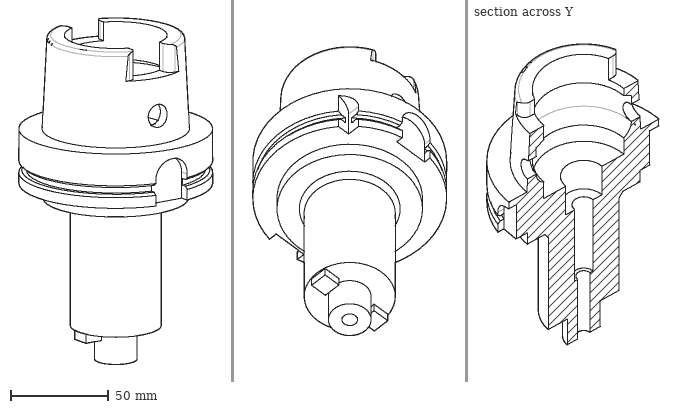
import cadquery as cq
import math

shank_top = 50.0
flange_bottom = -29.0
collar_bottom = -37.0
neck_end = -40.5
shoulder = -105.0
pilot_length = 18.0
pilot_bottom = shoulder - pilot_length

shank_base_radius = 38.0
shank_taper = 1 / 20
shank_top_radius = shank_base_radius - shank_taper * shank_top
shank_rim_fillet = 2.0

flange_radius = 50.0
groove_floor_radius = 46.1
groove_upper_edge = -17.0
groove_lower_edge = -23.3
groove_floor_top = -18.3
groove_floor_bottom = -21.9
groove_lip_radius = 48.5

collar_radius = 37.5
neck_radius = 26.0
arbor_radius = 23.5
pilot_radius = 11.0

mouth_radius = 26.5
mouth_bottom = 30.0
chamber_radius = 31.5
chamber_flare_angle = 60.0
chamber_round_radius = 10.0
chamber_round_start = 9.0
well_radius = mouth_radius
well_floor = -11.0
tube_bore_radius = 12.0
tube_bore_depth = 20.0
coolant_radius = 6.0
coolant_depth = 70.0
through_radius = 4.0

tenon_slot_width = 20.0
tenon_corner_radius = 4.5
tenon_flat = 32.1
slot_depth_neg_x = 10.0
slot_depth_pos_x = 15.0

cross_hole_radius = 6.0
cross_hole_height = 15.0

keyway_width = 20.0
keyway_top = -5.0
keyway_floor_neg_x = 45.0
keyway_floor_pos_x = 44.0
notch_floor = 31.5
notch_side = 31.5
notch_width = 17.0
notch_top = -5.0

key_width = 10.0
key_height = 5.0
key_inner = 12.7
key_outer = 22.6


def turned_body():
    """Revolved outside: shank, grooved flange, collar, arbor and pilot."""
    outline = [
        (0, shank_top),
        (shank_top_radius, shank_top),
        (shank_base_radius, 0),
        (flange_radius, 0),
        (flange_radius, groove_upper_edge),
        (groove_lip_radius, groove_floor_top),
        (groove_floor_radius, groove_floor_top),
        (groove_floor_radius, groove_floor_bottom),
        (groove_lip_radius, groove_floor_bottom),
        (flange_radius, groove_lower_edge),
        (flange_radius, flange_bottom),
        (collar_radius, flange_bottom),
        (collar_radius, collar_bottom),
        (neck_radius, collar_bottom),
        (arbor_radius, neck_end),
        (arbor_radius, shoulder),
        (pilot_radius, shoulder),
        (pilot_radius, pilot_bottom),
        (0, pilot_bottom),
    ]
    body = cq.Workplane("XZ").polyline(outline).close().revolve(360, (0, 0, 0), (0, 1, 0))
    return body.faces(">Z").edges().fillet(shank_rim_fillet)


def bores():
    """Stepped inner cavity: mouth, wider chamber, well, tube bore and coolant holes."""
    flare_height = (chamber_radius - mouth_radius) / math.tan(math.radians(chamber_flare_angle))
    round_center = chamber_radius - chamber_round_radius
    round_sweep = math.acos((well_radius - round_center) / chamber_round_radius)

    def on_round(angle):
        return (
            round_center + chamber_round_radius * math.cos(angle),
            chamber_round_start - chamber_round_radius * math.sin(angle),
        )

    chamber = (
        cq.Workplane("XZ")
        .moveTo(0, shank_top)
        .lineTo(mouth_radius, shank_top)
        .lineTo(mouth_radius, mouth_bottom)
        .lineTo(chamber_radius, mouth_bottom - flare_height)
        .lineTo(chamber_radius, chamber_round_start)
        .threePointArc(on_round(round_sweep / 2), on_round(round_sweep))
        .lineTo(well_radius, well_floor)
        .lineTo(0, well_floor)
        .close()
        .revolve(360, (0, 0, 0), (0, 1, 0))
    )
    floor = cq.Workplane("XY").workplane(offset=well_floor)
    tube_bore = floor.circle(tube_bore_radius).extrude(-tube_bore_depth)
    coolant = floor.circle(coolant_radius).extrude(-coolant_depth)
    through = floor.circle(through_radius).extrude(pilot_bottom - well_floor)
    return chamber.union(tube_bore).union(coolant).union(through)


def tenon_slot(side, depth):
    """Rim slot on one side (+1 or -1 along X), with rounded corners opening onto the side flat."""
    reach = shank_base_radius
    half = tenon_slot_width / 2
    corner_start = tenon_flat - tenon_corner_radius
    corner_end = half + tenon_corner_radius
    arc_mid = tenon_corner_radius * (1 - math.sqrt(0.5))
    return (
        cq.Workplane("XY")
        .workplane(offset=shank_top - depth)
        .moveTo(0, half)
        .lineTo(side * corner_start, half)
        .threePointArc((side * (tenon_flat - arc_mid), half + arc_mid), (side * tenon_flat, corner_end))
        .lineTo(side * tenon_flat, reach)
        .lineTo(side * reach, reach)
        .lineTo(side * reach, -reach)
        .lineTo(side * tenon_flat, -reach)
        .lineTo(side * tenon_flat, -corner_end)
        .threePointArc((side * (tenon_flat - arc_mid), -half - arc_mid), (side * corner_start, -half))
        .lineTo(0, -half)
        .close()
        .extrude(depth)
    )


def cross_hole():
    """Hole along X through both walls of the shank."""
    return (
        cq.Workplane("YZ")
        .center(0, cross_hole_height)
        .circle(cross_hole_radius)
        .extrude(shank_base_radius, both=True)
    )


def round_top_slot(side, floor, center_y, width, top):
    """Slot cut along X into the flange, open at the bottom and round at the top."""
    radius = width / 2
    return (
        cq.Workplane("YZ")
        .workplane(offset=side * floor)
        .moveTo(center_y - radius, flange_bottom)
        .lineTo(center_y - radius, top - radius)
        .threePointArc((center_y, top), (center_y + radius, top - radius))
        .lineTo(center_y + radius, flange_bottom)
        .close()
        .extrude(side * (flange_radius - floor))
    )


def drive_key(side):
    """Block under the shoulder, on one side (+1 or -1) along Y."""
    return (
        cq.Workplane("XY")
        .workplane(offset=shoulder)
        .center(0, side * (key_inner + key_outer) / 2)
        .rect(key_width, key_outer - key_inner)
        .extrude(-key_height)
    )


result = turned_body().cut(bores())
result = result.cut(tenon_slot(-1, slot_depth_neg_x))
result = result.cut(tenon_slot(1, slot_depth_pos_x))
result = result.cut(cross_hole())
result = result.cut(round_top_slot(-1, keyway_floor_neg_x, 0, keyway_width, keyway_top))
result = result.cut(round_top_slot(1, keyway_floor_pos_x, 0, keyway_width, keyway_top))
result = result.cut(
    round_top_slot(-1, notch_floor, notch_side + notch_width / 2, notch_width, notch_top)
)
for key_side in (1, -1):
    result = result.union(drive_key(key_side))